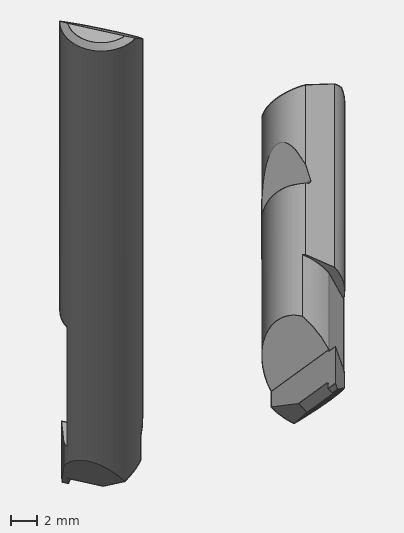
import cadquery as cq
import math

length = 50.8
radius = 3.175
oversize = 10.15

chamfer_width = 0.55
chamfer_height = 0.35
end_cut_start_y = -1.25

flat_edge_low_y = 0.1
flat_edge_high_y = 2.35
flat_bottom = 19.05

notch_floor = 30.8
notch_bottom_y = 1.8
notch_angle = 10.0
notch_radius = 0.85

neck_bottom = 6.1
neck_top = flat_bottom
neck_crest_x = -2.55
neck_edge_y = 2.5
neck_bulge = 0.15

rake_top = 6.35
front_relief_angle = 25.0
tip_thickness = 0.5
side_relief_edge_y = -2.2
tooth_width = 0.7
tooth_height = 1.05
tooth_root_radius = 0.2
head_corner_x = 0.45


def surface_x(y):
    """X of the bar surface on its -X side at the given Y."""
    return -math.sqrt(radius**2 - y**2)


def prism_along_x(points):
    """Solid with a (Y, Z) outline, passing right through the bar."""
    return cq.Workplane("YZ").polyline(points).close().extrude(oversize, both=True)


def prism_along_z(points, bottom, top):
    """Solid with an (X, Y) outline between two heights."""
    return cq.Workplane("XY").workplane(offset=bottom).polyline(points).close().extrude(top - bottom)


def bar():
    profile = [
        (0, 0),
        (radius, 0),
        (radius, length - chamfer_height),
        (radius - chamfer_width, length),
        (0, length),
    ]
    return cq.Workplane("XZ").polyline(profile).close().revolve(360, (0, 0, 0), (0, 1, 0))


def end_cut():
    return prism_along_x([
        (end_cut_start_y, length),
        (end_cut_start_y + oversize, length - oversize),
        (end_cut_start_y + oversize, length),
    ])


def side_flat():
    low = (surface_x(flat_edge_low_y), flat_edge_low_y)
    high = (surface_x(flat_edge_high_y), flat_edge_high_y)
    outline = [low, high, (-oversize, flat_edge_high_y), (-oversize, flat_edge_low_y)]
    return prism_along_z(outline, flat_bottom, length)


def clamping_notch():
    ramp_rise = (oversize - notch_bottom_y) / math.tan(math.radians(notch_angle))
    outline = [
        (notch_bottom_y, notch_floor),
        (oversize, notch_floor),
        (oversize, notch_floor + ramp_rise),
    ]
    corner = cq.selectors.NearestToPointSelector((0, notch_bottom_y, notch_floor))
    return prism_along_x(outline).edges(corner).fillet(notch_radius)


def neck_relief():
    edge_x = surface_x(neck_edge_y)
    chord = math.hypot(edge_x - neck_crest_x, neck_edge_y)
    arc_middle = (
        (edge_x + neck_crest_x) / 2 - neck_bulge * neck_edge_y / chord,
        neck_edge_y / 2 + neck_bulge * (edge_x - neck_crest_x) / chord,
    )
    return (
        cq.Workplane("XY").workplane(offset=neck_bottom)
        .moveTo(edge_x, -neck_edge_y)
        .lineTo(neck_crest_x, 0)
        .threePointArc(arc_middle, (edge_x, neck_edge_y))
        .lineTo(-oversize, neck_edge_y)
        .lineTo(-oversize, -neck_edge_y)
        .close()
        .extrude(neck_top - neck_bottom)
    )


def rake_cut():
    """Clears the back half below a 45 degree run-out."""
    return prism_along_x([(0, 0), (0, rake_top), (oversize, rake_top + oversize), (oversize, 0)])


def front_relief():
    rise = (oversize - tip_thickness) / math.tan(math.radians(front_relief_angle))
    return prism_along_x([(-tip_thickness, 0), (-oversize, rise), (-oversize, 0)])


def side_relief():
    """Clearance behind the tooth's outer cutting edge."""
    edge = (surface_x(side_relief_edge_y), side_relief_edge_y)
    outline = [(-radius, 0), edge, (-oversize, side_relief_edge_y), (-oversize, 0)]
    return prism_along_z(outline, 0, neck_bottom)


def head_outline_cut():
    """Leaves the tooth standing below the head and bevels the nose."""
    tooth_x = tooth_width - radius
    outline = [
        (tooth_x, 0),
        (tooth_x, tooth_height),
        (head_corner_x, tooth_height),
        (head_corner_x + oversize, tooth_height + oversize),
        (head_corner_x + oversize, 0),
    ]
    root = cq.selectors.NearestToPointSelector((tooth_x, 0, tooth_height))
    cutter = cq.Workplane("XZ").polyline(outline).close().extrude(oversize, both=True)
    return cutter.edges(root).fillet(tooth_root_radius)


result = (
    bar()
    .cut(end_cut())
    .cut(side_flat())
    .cut(clamping_notch())
    .cut(neck_relief())
    .cut(rake_cut())
    .cut(front_relief())
    .cut(side_relief())
    .cut(head_outline_cut())
)